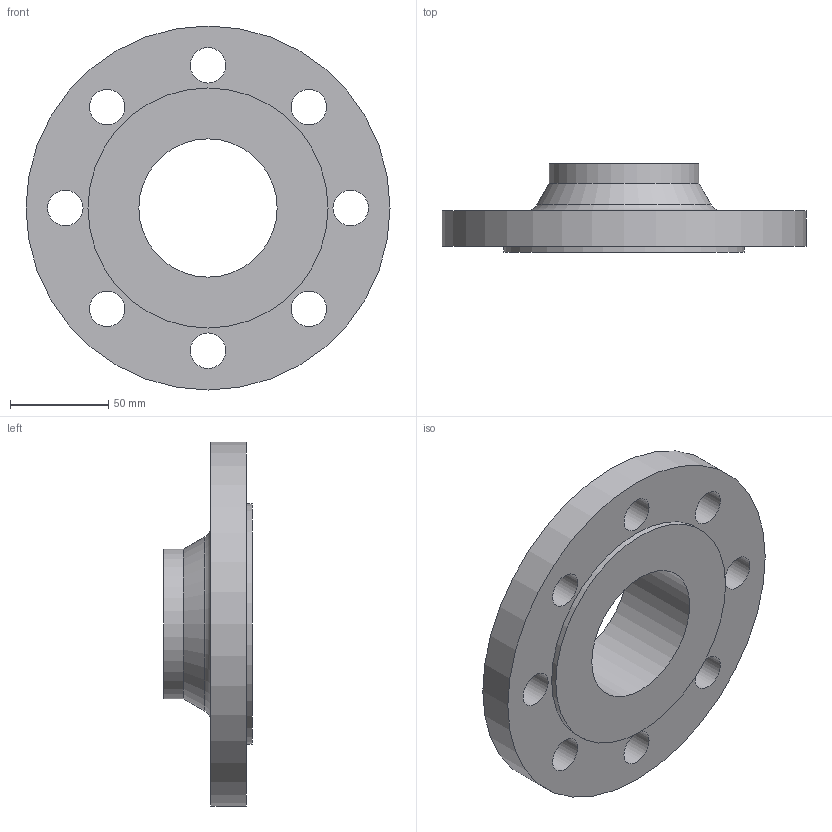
import cadquery as cq

total_length = 45.0
flange_diameter = 185.0
flange_thickness = 18.0
raised_face_diameter = 122.0
raised_face_height = 3.0
bore_diameter = 70.3
neck_end_diameter = 76.1
neck_end_length = 10.0
neck_base_diameter = 92.0
neck_fillet_radius = 6.0
bolt_circle_diameter = 145.0
bolt_hole_diameter = 18.0
bolt_hole_count = 8

flange_back = raised_face_height + flange_thickness
taper_end = total_length - neck_end_length


def turned_body():
    """Revolve the half section (radius along X, length along Y) about the Y axis."""
    section = (
        cq.Workplane("XY")
        .moveTo(bore_diameter / 2, 0)
        .lineTo(raised_face_diameter / 2, 0)
        .lineTo(raised_face_diameter / 2, raised_face_height)
        .lineTo(flange_diameter / 2, raised_face_height)
        .lineTo(flange_diameter / 2, flange_back)
        .lineTo(neck_base_diameter / 2, flange_back)
        .lineTo(neck_end_diameter / 2, taper_end)
        .lineTo(neck_end_diameter / 2, total_length)
        .lineTo(bore_diameter / 2, total_length)
        .close()
    )
    return section.revolve(360, (0, 0, 0), (0, 1, 0))


def round_neck_root(body):
    """Fillet the circle where the tapered neck meets the back of the flange."""
    reach = neck_base_diameter / 2
    margin = 0.1
    root_edge = cq.selectors.BoxSelector(
        (-reach - margin, flange_back - margin, -reach - margin),
        (reach + margin, flange_back + margin, reach + margin),
        boundingbox=True,
    )
    return body.edges(root_edge).fillet(neck_fillet_radius)


def bolt_holes():
    """Through-hole cutters on the bolt circle, the first one on the X axis."""
    return (
        cq.Workplane("XZ")
        .polarArray(bolt_circle_diameter / 2, 0, 360, bolt_hole_count)
        .circle(bolt_hole_diameter / 2)
        .extrude(-total_length)
    )


result = round_neck_root(turned_body()).cut(bolt_holes())